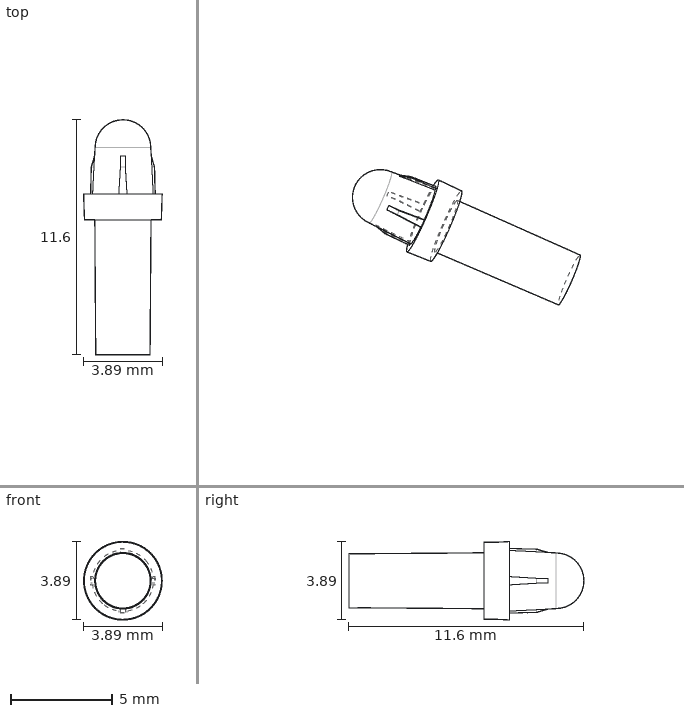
import cadquery as cq

total_length = 11.62
collar_start = 6.67
collar_end = 7.95
rib_ramp_start = 9.27
rib_tip = 9.83

stem_end_radius = 1.35
stem_root_radius = 1.4
collar_start_radius = 1.9
collar_end_radius = 1.946
head_root_radius = 1.51
dome_radius = 1.38
dome_start = total_length - dome_radius

rib_count = 4
rib_root_radius = 1.6
rib_ramp_radius = 1.57
rib_root_width = 0.41
rib_tip_width = 0.24
rib_core_radius = 1.16


def head_radius_at(y):
    """Radius of the tapered head at an axial station."""
    fraction = (y - collar_end) / (dome_start - collar_end)
    return head_root_radius + fraction * (dome_radius - head_root_radius)


def make_body():
    """Stem, collar, head and dome as one revolved profile."""
    diagonal = dome_radius * 0.5 ** 0.5
    return (
        cq.Workplane("XY")
        .lineTo(stem_end_radius, 0)
        .lineTo(stem_root_radius, collar_start)
        .lineTo(collar_start_radius, collar_start)
        .lineTo(collar_end_radius, collar_end)
        .lineTo(head_root_radius, collar_end)
        .lineTo(dome_radius, dome_start)
        .threePointArc((diagonal, dome_start + diagonal), (0, total_length))
        .close()
        .revolve(360, (0, 0, 0), (0, 1, 0))
    )


def make_rib():
    """Rib on the +Z side: tapering width, conical crest and flat lead-in ramp."""
    plan = (
        cq.Workplane("XY")
        .polyline([
            (-rib_root_width / 2, collar_end),
            (rib_root_width / 2, collar_end),
            (rib_tip_width / 2, rib_ramp_start),
            (rib_tip_width / 2, rib_tip),
            (-rib_tip_width / 2, rib_tip),
            (-rib_tip_width / 2, rib_ramp_start),
        ])
        .close()
        .extrude(rib_root_radius)
    )
    ramp = (
        cq.Workplane("YZ")
        .polyline([
            (collar_end, rib_core_radius),
            (collar_end, rib_root_radius),
            (rib_ramp_start, rib_ramp_radius),
            (rib_tip, head_radius_at(rib_tip)),
            (rib_tip, rib_core_radius),
        ])
        .close()
        .extrude(rib_root_width / 2, both=True)
    )
    crest_cone = (
        cq.Workplane("XY")
        .polyline([
            (0, collar_end),
            (rib_root_radius, collar_end),
            (rib_ramp_radius, rib_ramp_start),
            (rib_ramp_radius, rib_tip),
            (0, rib_tip),
        ])
        .close()
        .revolve(360, (0, 0, 0), (0, 1, 0))
    )
    return plan.intersect(ramp).intersect(crest_cone)


result = make_body()
rib = make_rib()
for index in range(rib_count):
    angle = index * 360 / rib_count
    result = result.union(rib.rotate((0, 0, 0), (0, 1, 0), angle))

result = result.translate((0, -total_length / 2, 0))